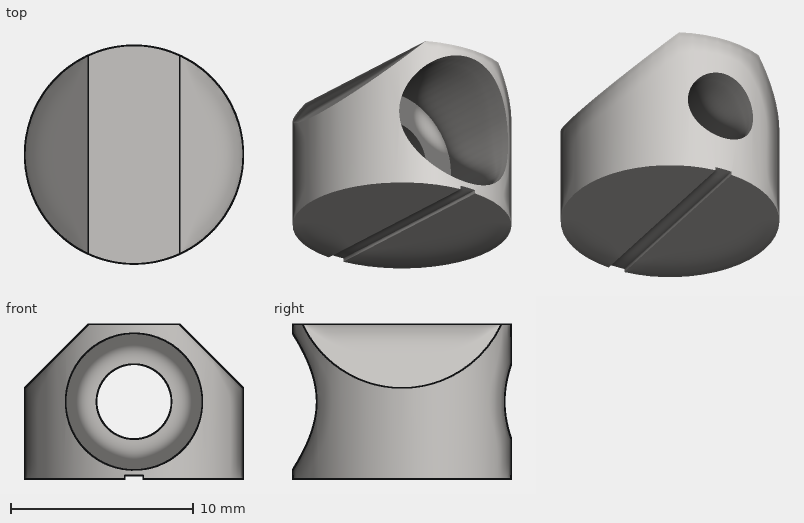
import cadquery as cq

body_diameter = 12.0
body_height = 8.5

ridge_width = 5.0
slope_drop = (body_diameter - ridge_width) / 2

bore_diameter = 4.1
counterbore_diameter = 7.5
bore_height = body_height / 2
counterbore_depth = 6.5

groove_width = 1.0
groove_depth = 0.2


def make_body():
    """Cylinder trimmed by a house-shaped profile extruded along Y."""
    half_width = body_diameter / 2
    half_ridge = ridge_width / 2
    eaves_height = body_height - slope_drop
    cylinder = cq.Workplane("XY").circle(half_width).extrude(body_height)
    house = (
        cq.Workplane("XZ")
        .moveTo(-half_width, 0)
        .lineTo(half_width, 0)
        .lineTo(half_width, eaves_height)
        .lineTo(half_ridge, body_height)
        .lineTo(-half_ridge, body_height)
        .lineTo(-half_width, eaves_height)
        .close()
        .extrude(half_width, both=True)
    )
    return cylinder.intersect(house)


def cross_cylinder(diameter, depth):
    """Cylinder along Y at bore height, entering from the -Y side."""
    start_y = -body_diameter / 2
    return (
        cq.Workplane("XZ", origin=(0, start_y, bore_height))
        .circle(diameter / 2)
        .extrude(-depth)
    )


def make_groove():
    """Rectangular bar along Y that cuts the underside groove."""
    return cq.Workplane("XY").box(
        groove_width, body_diameter, groove_depth, centered=(True, True, False)
    )


result = (
    make_body()
    .cut(cross_cylinder(bore_diameter, body_diameter))
    .cut(cross_cylinder(counterbore_diameter, counterbore_depth))
    .cut(make_groove())
)